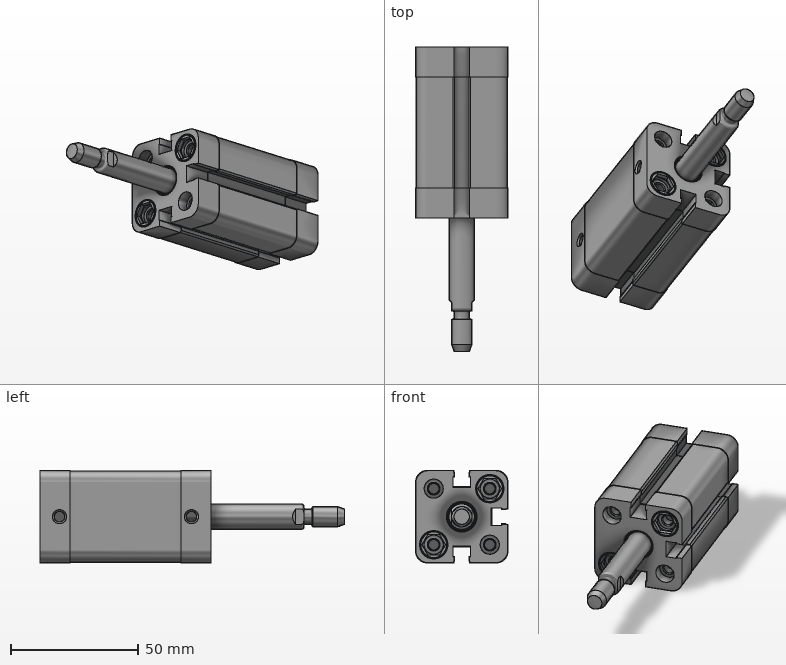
import cadquery as cq


cap_size = 36.3
tube_size = 35.9
cap_corner_radius = 4.7
cap_length = 11.8
body_length = 67.2
tube_length = body_length - 2 * cap_length
tube_corner_radius = cap_corner_radius - (cap_size - tube_size) / 2

slot_width = 6.8
cap_slot_bottom = 11.55
tube_slot_bottom = 11.9
lip_bottom = 15.65
cap_mouth_width = 6.1
tube_mouth_width = 5.5
mouth_chamfer = 0.7
slot_angles = (0, 90, 180)

screw_offset = 11.0
access_hole_diameter = 7.5
access_hole_depth = 4.6
thread_diameter = 4.13
thread_depth = 4.0
thread_mouth_diameter = 5.0
thread_mouth_chamfer = (thread_mouth_diameter - thread_diameter) / 2
head_recess_diameter = 11.1
head_face_diameter = 10.48
head_gap_depth = 0.3
head_chamfer = 0.2
hex_across_flats = 8.0
hex_corner_diameter = hex_across_flats / 0.75 ** 0.5
hex_depth = 1.8
hex_relief_diameter = 7.55
hex_relief_depth = 3.2

port_from_end = 7.7
port_diameter = 4.13
port_mouth_diameter = 5.5
port_mouth_chamfer = (port_mouth_diameter - port_diameter) / 2
port_depth = cap_size / 2

rod_diameter = 10.0
rod_reach = 52.4
tip_diameter = 8.0
tip_length = 12.8
tip_end_diameter = 6.0
tip_taper_length = 2.7
tip_back_chamfer = 0.3
neck_diameter = 6.0
neck_length = 3.2
neck_fillet = 0.6
rod_edge_radius = 0.9
flat_across = 8.0
flat_length = 3.2
flat_runout = 1.2

seal_step_diameters = (12.0, 11.4, 10.9, 10.48)
seal_step_depth = 0.3


def along_y(y):
    """Workplane square to the rod at the given Y, with X to the right, Z up and -Y as its normal."""
    return cq.Workplane("XZ", origin=(0, y, 0))


def cylinder(diameter, length, y, x=0.0, z=0.0):
    """Cylinder along Y from y to y + length."""
    return along_y(y).center(x, z).circle(diameter / 2).extrude(-length)


def cone(start_diameter, end_diameter, length, y, x=0.0, z=0.0):
    """Cone frustum along Y from y to y + length."""
    frustum = cq.Solid.makeCone(
        start_diameter / 2, end_diameter / 2, length, cq.Vector(x, y, z), cq.Vector(0, 1, 0)
    )
    return cq.Workplane(frustum)


def block(size, corner_radius, length, y):
    """Square block with rounded long edges, from y to y + length."""
    return along_y(y).rect(size, size).extrude(-length).edges("|Y").fillet(corner_radius)


def cut_slots(body, size, bottom, mouth_width, chamfer, y, length):
    """Cut the undercut sensor slots along a body that runs from y to y + length."""
    half_slot = slot_width / 2
    half_mouth = mouth_width / 2
    top = size / 2
    half_outline = [(half_slot, bottom), (half_slot, lip_bottom), (half_mouth, lip_bottom)]
    if chamfer:
        half_outline += [(half_mouth, top - chamfer), (half_mouth + chamfer, top)]
    else:
        half_outline += [(half_mouth, top)]
    outline = half_outline + [(-x, z) for x, z in reversed(half_outline)]
    slot = along_y(y).polyline(outline).close().extrude(-length)
    for angle in slot_angles:
        body = body.cut(slot.rotate((0, 0, 0), (0, 1, 0), angle))
    return body


def threaded_mouth(y, x, z):
    """Screw thread hole with a chamfered mouth at the given Y."""
    hole = cylinder(thread_diameter, thread_depth, y, x, z)
    return hole.union(cone(thread_mouth_diameter, thread_diameter, thread_mouth_chamfer, y, x, z))


def head_recess(x, z):
    """Cut around and into a screw head: ring gap, hex socket, round relief and thread."""
    chamfer_start = head_face_diameter - 2 * head_chamfer
    head = cylinder(head_face_diameter, head_gap_depth, head_chamfer, x, z)
    head = head.union(cone(chamfer_start, head_face_diameter, head_chamfer, 0, x, z))
    gap = cylinder(head_recess_diameter, head_gap_depth, 0, x, z).cut(head)
    socket = along_y(0).center(x, z).polygon(6, hex_corner_diameter).extrude(-hex_depth)
    relief = cylinder(hex_relief_diameter, hex_relief_depth, 0, x, z)
    return gap.union(socket).union(relief).union(threaded_mouth(hex_relief_depth, x, z))


def access_hole(x, z):
    """Plain hole that leads to the threaded end of a screw."""
    hole = cylinder(access_hole_diameter, access_hole_depth, 0, x, z)
    return hole.union(threaded_mouth(access_hole_depth, x, z))


def port(y):
    """Air port on the -X side with a chamfered mouth."""
    side = cq.Workplane("YZ", origin=(-cap_size / 2, y, 0))
    hole = side.circle(port_diameter / 2).extrude(port_depth)
    mouth = cq.Solid.makeCone(
        port_mouth_diameter / 2,
        port_diameter / 2,
        port_mouth_chamfer,
        cq.Vector(-cap_size / 2, y, 0),
        cq.Vector(1, 0, 0),
    )
    return hole.union(cq.Workplane(mouth))


def make_cap(y, port_y):
    """Plain cap from y, with its slots and air port."""
    cap = block(cap_size, cap_corner_radius, cap_length, y)
    cap = cut_slots(cap, cap_size, cap_slot_bottom, cap_mouth_width, 0, y, cap_length)
    return cap.cut(port(port_y))


def make_front_cap():
    cap = make_cap(0, port_from_end)
    for side in (-1, 1):
        cap = cap.cut(head_recess(side * screw_offset, side * screw_offset))
        cap = cap.cut(access_hole(side * screw_offset, -side * screw_offset))
    cap = cap.cut(cylinder(rod_diameter, cap_length, 0))
    for step, diameter in enumerate(seal_step_diameters, start=1):
        cap = cap.cut(cylinder(diameter, step * seal_step_depth, 0))
    return cap


def make_tube():
    tube = block(tube_size, tube_corner_radius, tube_length, cap_length)
    return cut_slots(
        tube, tube_size, tube_slot_bottom, tube_mouth_width, mouth_chamfer, cap_length, tube_length
    )


def make_rear_cap():
    return make_cap(body_length - cap_length, body_length - port_from_end)


def make_rod():
    """Rod with a necked, tapered tip and two wrench flats; it ends on the tube."""
    rod_radius = rod_diameter / 2
    tip_radius = tip_diameter / 2
    neck_radius = neck_diameter / 2
    tip_front = -rod_reach
    tip_back = tip_front + tip_length
    shoulder = tip_back + neck_length
    rod = (
        cq.Workplane("XY")
        .moveTo(0, tip_front)
        .lineTo(tip_end_diameter / 2, tip_front)
        .lineTo(tip_radius, tip_front + tip_taper_length)
        .lineTo(tip_radius, tip_back - tip_back_chamfer)
        .lineTo(tip_radius - tip_back_chamfer, tip_back)
        .lineTo(neck_radius + neck_fillet, tip_back)
        .tangentArcPoint((neck_radius, tip_back + neck_fillet), relative=False)
        .lineTo(neck_radius, shoulder - neck_fillet)
        .tangentArcPoint((neck_radius + neck_fillet, shoulder), relative=False)
        .lineTo(rod_radius - rod_edge_radius, shoulder)
        .tangentArcPoint((rod_radius, shoulder + rod_edge_radius), relative=False)
        .lineTo(rod_radius, cap_length)
        .lineTo(0, cap_length)
        .close()
        .revolve(360, (0, 0), (0, 1))
    )

    flat_x = flat_across / 2
    flat_end = shoulder + flat_length
    for side in (-1, 1):
        flat = (
            cq.Workplane("XY", origin=(0, 0, -rod_radius))
            .moveTo(side * flat_x, shoulder)
            .lineTo(side * flat_x, flat_end)
            .lineTo(side * rod_radius, flat_end + flat_runout)
            .lineTo(side * rod_radius, shoulder)
            .close()
            .extrude(rod_diameter)
        )
        rod = rod.cut(flat)
    return rod


front_cap = make_front_cap()
tube = make_tube()
rear_cap = make_rear_cap()
rod = make_rod()

result = cq.Compound.makeCompound([front_cap.val(), tube.val(), rear_cap.val(), rod.val()])